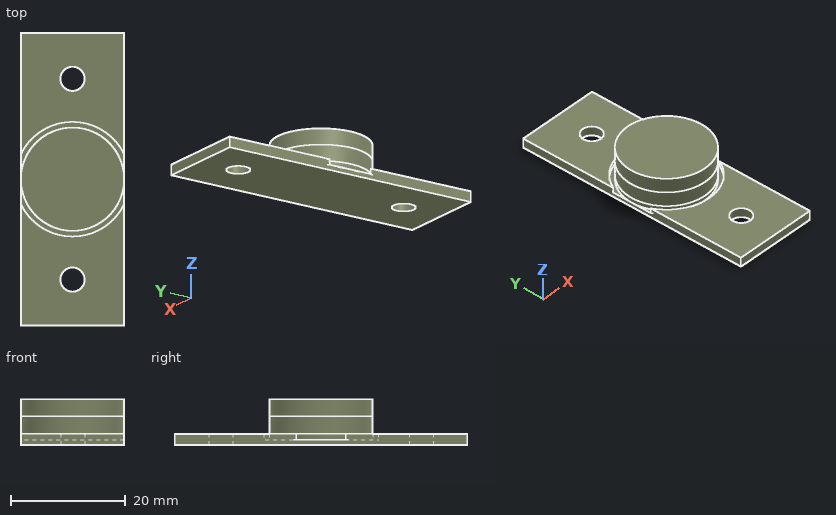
import cadquery as cq

plate_length = 51.0
plate_width = 18.0
plate_thickness = 2.0

hole_diameter = 4.2
hole_spacing = 35.0

total_height = 8.0
disc_count = 2
disc_diameter = plate_width
disc_height = (total_height - plate_thickness) / disc_count

groove_outer_diameter = 20.0
groove_depth = 1.0
seat_diameter = disc_diameter


def make_groove_cutter():
    """Ring that reaches from the groove floor up to the top face of the plate."""
    return (
        cq.Workplane("XY")
        .workplane(offset=plate_thickness - groove_depth)
        .circle(groove_outer_diameter / 2)
        .circle(seat_diameter / 2)
        .extrude(groove_depth)
    )


def make_hole_cutter():
    """Pair of cylinders that pass through the full plate thickness."""
    return (
        cq.Workplane("XY")
        .pushPoints([(0, -hole_spacing / 2), (0, hole_spacing / 2)])
        .circle(hole_diameter / 2)
        .extrude(plate_thickness)
    )


def make_plate():
    """Flat plate with its underside at Z = 0, a ring groove and two through holes."""
    blank = cq.Workplane("XY").box(
        plate_width, plate_length, plate_thickness, centered=(True, True, False)
    )
    return blank.cut(make_groove_cutter()).cut(make_hole_cutter())


def make_disc(bottom):
    """Plain disc on the Z axis, standing on the given level."""
    return cq.Workplane("XY").workplane(offset=bottom).circle(disc_diameter / 2).extrude(disc_height)


plate = make_plate()
discs = [make_disc(plate_thickness + index * disc_height) for index in range(disc_count)]

result = cq.Compound.makeCompound([plate.val(), *[disc.val() for disc in discs]])